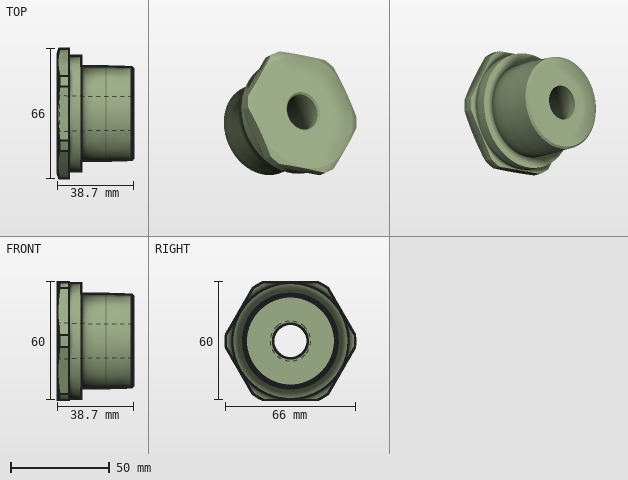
import cadquery as cq
import math

hex_across_flats = 60.0
hex_corner_diameter = 66.0
hex_thickness = 6.0
hex_face_diameter = 59.5
hex_bevel_depth = 1.0

collar_diameter = 59.0
collar_end = 12.2
neck_diameter = 48.15
neck_end = 24.7
total_length = 38.7
tip_chamfer = 1.0

bore_mouth_diameter = 20.4
bore_chamfer = 1.0
bore_taper_length = 15.0

thread_taper = 1 / 16


def revolve_about_x(profile_points):
    """Revolve a closed outline of (x, radius) points about the X axis."""
    outline = cq.Workplane("XZ").polyline(profile_points).close()
    return outline.revolve(360, (0, 0, 0), (1, 0, 0))


def make_hex_head():
    """Hexagon with flats at +Z and -Z, rounded corners and a bevelled front face."""
    hex_circumscribed_diameter = hex_across_flats / math.cos(math.pi / 6)
    prism = cq.Workplane("YZ").polygon(6, hex_circumscribed_diameter).extrude(hex_thickness)
    envelope = revolve_about_x([
        (0, 0),
        (0, hex_face_diameter / 2),
        (hex_bevel_depth, hex_corner_diameter / 2),
        (hex_thickness, hex_corner_diameter / 2),
        (hex_thickness, 0),
    ])
    return prism.intersect(envelope)


def make_body():
    """Collar, straight neck and tapered thread with a chamfered tip."""
    taper_end = total_length - tip_chamfer
    taper_end_radius = (neck_diameter - (taper_end - neck_end) * thread_taper) / 2
    return revolve_about_x([
        (hex_thickness, 0),
        (hex_thickness, collar_diameter / 2),
        (collar_end, collar_diameter / 2),
        (collar_end, neck_diameter / 2),
        (neck_end, neck_diameter / 2),
        (taper_end, taper_end_radius),
        (total_length, taper_end_radius - tip_chamfer),
        (total_length, 0),
    ])


def make_bore():
    """Chamfered mouth, tapered thread and straight bore through the whole part."""
    mouth_radius = bore_mouth_diameter / 2
    taper_start_radius = mouth_radius - bore_chamfer
    straight_radius = taper_start_radius - bore_taper_length * thread_taper / 2
    return revolve_about_x([
        (0, 0),
        (0, mouth_radius),
        (bore_chamfer, taper_start_radius),
        (bore_chamfer + bore_taper_length, straight_radius),
        (total_length, straight_radius),
        (total_length, 0),
    ])


result = make_hex_head().union(make_body()).cut(make_bore())